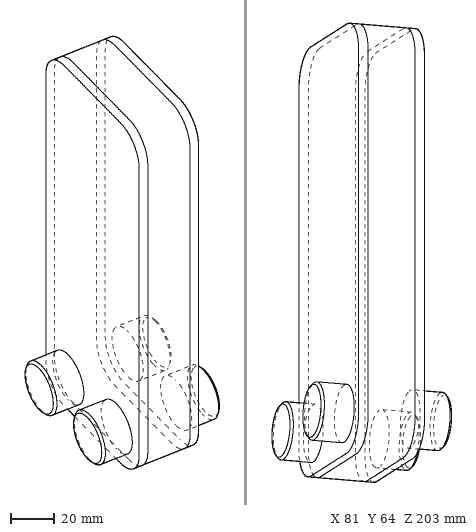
import cadquery as cq

HEIGHT = 203.0
WIDTH = 81.0
CORNER_RADIUS = 16.0
STACK_DEPTH = 32.3
PLATE_THICKNESS = 4.7
CORE_DEPTH = STACK_DEPTH - 2 * PLATE_THICKNESS

TOTAL_DEPTH = 64.0
STUD_DIAMETER = 27.0
STUD_LENGTH = (TOTAL_DEPTH - STACK_DEPTH) / 2
STUD_CHAMFER = 1.2
STUD_SPACING = 42.0
STUD_HEIGHT = 19.5


def rounded_slab(y_start, depth):
    """Upright slab with rounded corners, from y_start toward +Y."""
    return (
        cq.Workplane("XY")
        .box(WIDTH, depth, HEIGHT, centered=(True, False, False))
        .edges("|Y")
        .fillet(CORNER_RADIUS)
        .translate((0, y_start, 0))
    )


def stud(x, side):
    """Stud on the plate face at the given side (-1 or +1 along Y), chamfered at its free end."""
    base = cq.Vector(x, side * STACK_DEPTH / 2, STUD_HEIGHT)
    plane = cq.Plane(origin=base, xDir=(1, 0, 0), normal=(0, side, 0))
    return (
        cq.Workplane(plane)
        .circle(STUD_DIAMETER / 2)
        .extrude(STUD_LENGTH)
        .faces(">Y" if side > 0 else "<Y")
        .chamfer(STUD_CHAMFER)
    )


core = rounded_slab(-CORE_DEPTH / 2, CORE_DEPTH)
front_plate = rounded_slab(-STACK_DEPTH / 2, PLATE_THICKNESS)
back_plate = rounded_slab(CORE_DEPTH / 2, PLATE_THICKNESS)

studs = []
for side in (-1, 1):
    for x in (-STUD_SPACING / 2, STUD_SPACING / 2):
        studs.append(stud(x, side).val())

result = cq.Compound.makeCompound([core.val(), front_plate.val(), back_plate.val(), *studs])